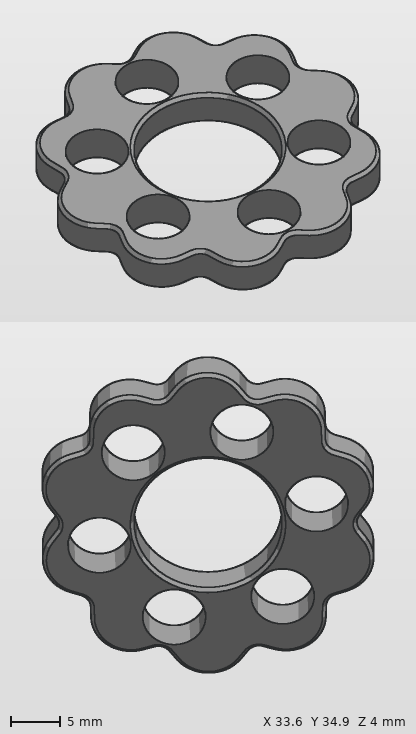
import cadquery as cq
import math

thickness = 4.0
outer_radius = 17.45
edge_chamfer = 0.4

lobe_count = 10
lobe_centre_radius = 13.35
lobe_radius = outer_radius - lobe_centre_radius
valley_floor_radius = 15.1
valley_radius = 1.4
valley_centre_radius = valley_floor_radius + valley_radius

bore_diameter = 15.0
hole_count = 6
hole_diameter = 6.4
hole_circle_radius = 11.27


def polar(radius, angle):
    """Point at a radius and an angle in radians."""
    return (radius * math.cos(angle), radius * math.sin(angle))


def polar_of(point):
    """Radius and angle of a point."""
    return math.hypot(*point), math.atan2(point[1], point[0])


def flank_ends(half_pitch):
    """Tangent points of the flank between a lobe on angle zero and the next valley."""
    lobe_x = lobe_centre_radius
    valley_x, valley_y = polar(valley_centre_radius, half_pitch)
    centre_distance = math.hypot(valley_x - lobe_x, valley_y)
    centre_angle = math.atan2(valley_y, valley_x - lobe_x)
    normal_angle = centre_angle - math.acos((lobe_radius + valley_radius) / centre_distance)
    lobe_dx, lobe_dy = polar(lobe_radius, normal_angle)
    valley_dx, valley_dy = polar(valley_radius, normal_angle)
    return (lobe_x + lobe_dx, lobe_dy), (valley_x - valley_dx, valley_y - valley_dy)


def rim_outline():
    """Closed scalloped outline with one lobe pointing along +Y."""
    pitch = 2 * math.pi / lobe_count
    lobe_end, valley_start = flank_ends(pitch / 2)
    lobe_end_radius, lobe_end_angle = polar_of(lobe_end)
    valley_end_radius, valley_start_angle = polar_of(valley_start)
    first_lobe = math.pi / 2

    outline = cq.Workplane("XY").moveTo(*polar(lobe_end_radius, first_lobe - lobe_end_angle))
    for index in range(lobe_count):
        lobe = first_lobe + index * pitch
        valley = lobe + pitch / 2
        next_lobe = lobe + pitch
        outline = outline.threePointArc(
            polar(outer_radius, lobe), polar(lobe_end_radius, lobe + lobe_end_angle)
        )
        outline = outline.lineTo(*polar(valley_end_radius, lobe + valley_start_angle))
        outline = outline.threePointArc(
            polar(valley_floor_radius, valley),
            polar(valley_end_radius, next_lobe - valley_start_angle),
        )
        outline = outline.lineTo(*polar(lobe_end_radius, next_lobe - lobe_end_angle))
    return outline.close()


plate = rim_outline().extrude(thickness)
plate = plate.faces(">Z").workplane(origin=(0, 0, thickness)).hole(bore_diameter)
plate = plate.faces("<Z or >Z").edges().chamfer(edge_chamfer)

hole_cutters = (
    cq.Workplane("XY")
    .polarArray(hole_circle_radius, 0, 360, hole_count)
    .circle(hole_diameter / 2)
    .extrude(thickness)
)

result = plate.cut(hole_cutters)